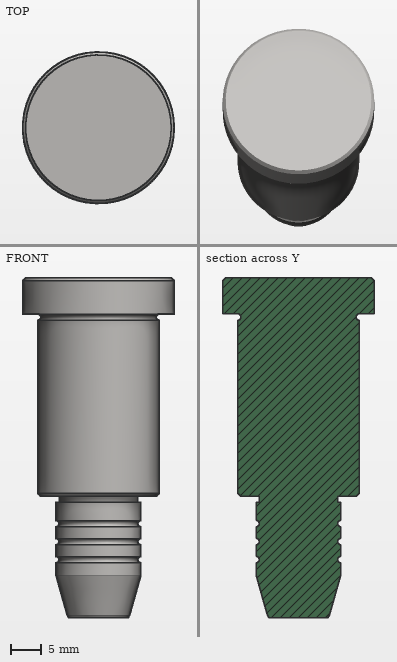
import cadquery as cq

total_length = 56.0
head_radius = 12.5
head_height = 6.0
shank_radius = 10.0
shank_bottom = 20.0
barb_radius = 7.0
barb_top = 19.05
edge_chamfer = 0.5

taper_height = 7.0
tip_radius = 5.15
tip_face_radius = 4.9
tip_chamfer_height = 0.45

groove_radius = 0.5
neck_radius = barb_radius - groove_radius
barb_groove_count = 3
first_groove_height = 9.6
groove_pitch = 2.95

head_bottom = total_length - head_height


def cylinder(radius, bottom, top):
    """Solid cylinder on the Z axis between two heights."""
    return cq.Workplane("XY").workplane(offset=bottom).circle(radius).extrude(top - bottom)


def groove_ring(surface_radius, height):
    """Torus that cuts a half-round groove centred at the given height."""
    return (
        cq.Workplane("XZ")
        .center(surface_radius, height)
        .circle(groove_radius)
        .revolve(360, (-surface_radius, 0), (-surface_radius, 1))
    )


head = cylinder(head_radius, head_bottom, total_length).faces(">Z").chamfer(edge_chamfer)

shank = cylinder(shank_radius, shank_bottom, head_bottom).faces("<Z").chamfer(edge_chamfer)
shank = shank.cut(groove_ring(shank_radius, head_bottom - groove_radius))

neck = cylinder(neck_radius, barb_top, shank_bottom)

barbed_end = (
    cq.Workplane("XZ")
    .polyline([
        (0, 0),
        (tip_face_radius, 0),
        (tip_radius, tip_chamfer_height),
        (barb_radius, taper_height),
        (barb_radius, barb_top),
        (0, barb_top),
    ])
    .close()
    .revolve(360, (0, 0), (0, 1))
)
for index in range(barb_groove_count):
    groove_height = first_groove_height + index * groove_pitch
    barbed_end = barbed_end.cut(groove_ring(barb_radius, groove_height))

result = head.union(shank).union(neck).union(barbed_end)